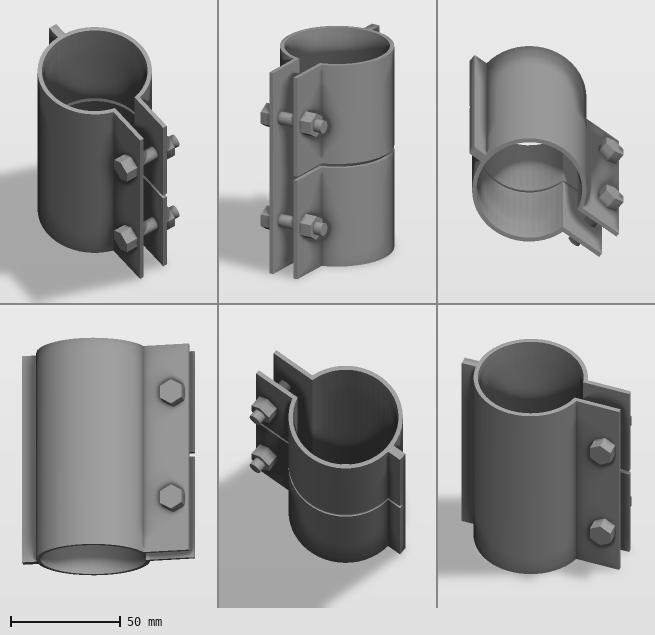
import cadquery as cq
import math

length = 98.0
bore_diameter = 48.3
inner_radius = bore_diameter / 2
wall = 2.0
outer_radius = inner_radius + wall

gap = 11.0
ear_end_x = 46.0
ear_inner_y = gap / 2
ear_outer_y = ear_inner_y + wall

rib_end_x = -33.0
rib_thickness = 4.0

slit_width = 2.0

bolt_x = 39.0
bolt_spacing = 50.0
shank_diameter = 6.0
hex_across_flats = 10.0
hex_height = 6.0
shank_protrusion = 4.0
shank_end_y = ear_outer_y + hex_height + shank_protrusion


def block(x_min, x_max, y_min, y_max, height):
    """Box between the given X and Y limits, centred on Z = 0."""
    return (
        cq.Workplane("XY")
        .box(x_max - x_min, y_max - y_min, height, centered=(False, False, True))
        .translate((x_min, y_min, 0))
    )


def make_clamp():
    """Tube opened on the +X side, with its ears and rib."""
    bore = cq.Workplane("XY").circle(inner_radius).extrude(length / 2, both=True)
    body = cq.Workplane("XY").circle(outer_radius).extrude(length / 2, both=True)
    body = body.union(block(0, ear_end_x, -ear_outer_y, ear_outer_y, length))
    body = body.union(block(rib_end_x, 0, -rib_thickness / 2, rib_thickness / 2, length))
    opening = block(0, ear_end_x, -ear_inner_y, ear_inner_y, length)
    return body.cut(bore).cut(opening)


def make_slit():
    """Cutter that runs from the XZ plane out through the +Y side."""
    return block(rib_end_x, ear_end_x, 0, outer_radius, slit_width)


def bolt_plane(y_start, z):
    """Workplane at (bolt_x, y_start, z) that extrudes towards +Y."""
    plane = cq.Plane(origin=(bolt_x, y_start, z), xDir=(0, 0, 1), normal=(0, 1, 0))
    return cq.Workplane(plane)


def make_bolt(z):
    """Bolt along Y: hexagonal head on -Y, nut on +Y and a protruding shank."""
    across_corners = hex_across_flats / math.cos(math.pi / 6)
    head_y = -ear_outer_y - hex_height
    head = bolt_plane(head_y, z).polygon(6, across_corners).extrude(hex_height)
    nut = bolt_plane(ear_outer_y, z).polygon(6, across_corners).extrude(hex_height)
    shank = bolt_plane(head_y, z).circle(shank_diameter / 2).extrude(shank_end_y - head_y)
    return head.union(nut).union(shank)


result = make_clamp().cut(make_slit())
for bolt_z in (-bolt_spacing / 2, bolt_spacing / 2):
    result = result.union(make_bolt(bolt_z))